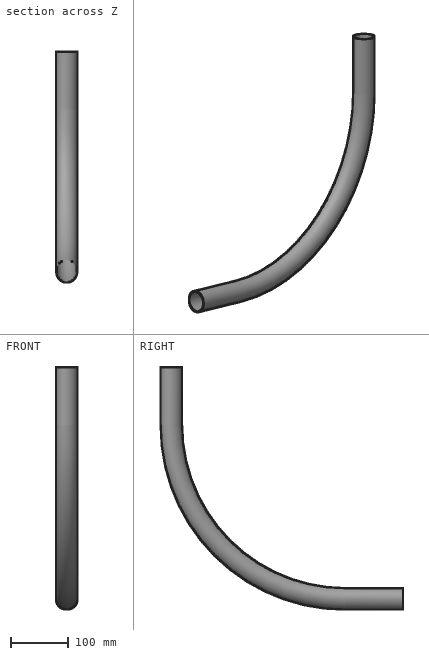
import cadquery as cq

outer_diameter = 38.1
inner_diameter = 34.9
leg_length = 101.6
bend_radius = 304.8
bend_angle = 90.0


def tube_section():
    """Ring-shaped tube cross-section on the XY plane, centred on the origin."""
    return cq.Workplane("XY").circle(outer_diameter / 2).circle(inner_diameter / 2)


def straight_leg():
    """Straight tube rising along +Z from the origin."""
    return tube_section().extrude(leg_length)


def bend():
    """Quarter bend from the foot of the vertical leg, down and round towards +Y."""
    axis_start = (0, bend_radius, 0)
    axis_end = (1, bend_radius, 0)
    return tube_section().revolve(bend_angle, axis_start, axis_end)


vertical_leg = straight_leg()
horizontal_leg = (
    straight_leg()
    .rotate((0, 0, 0), (1, 0, 0), -bend_angle)
    .translate((0, bend_radius, -bend_radius))
)

result = vertical_leg.union(bend()).union(horizontal_leg)